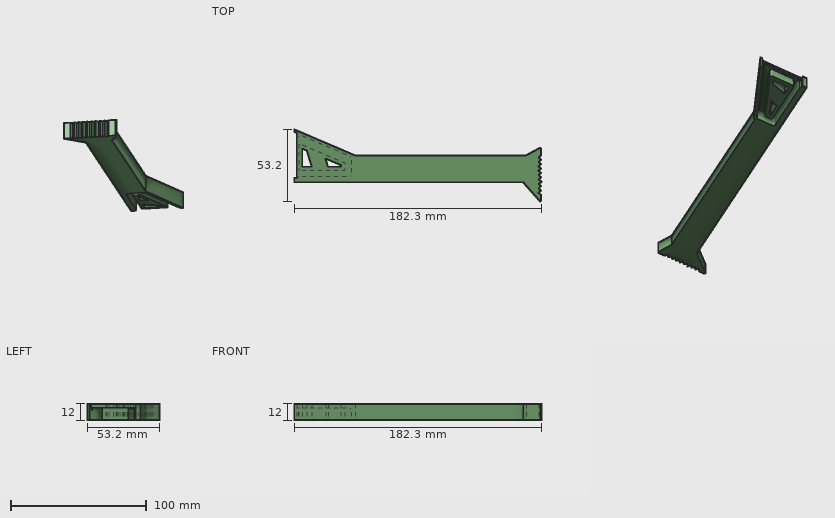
import cadquery as cq
import math

length = 182.3
thickness = 12.0
bar_bottom = 14.2
bar_top = 34.0

flare_end = 44.8
flare_top = 53.2
flare_slope = (bar_top - flare_top) / flare_end
slope_stretch = math.hypot(1, flare_slope)

mouth_depth = 1.8
lower_lip = 17.5
upper_lip = 51.5

head_upper_start = 170.6
head_lower_start = 168.5
head_top = 39.7
tip_bevel = 0.7
head_face = 181.8
tooth_count = 9
long_tooth = 2
tooth_depth = 1.8
teeth_bottom = 5.0
teeth_top = 34.0

roof = 3.0
pocket_height = thickness - roof
pocket_end = 42.0
pocket_bottom = 18.6
side_wall = 2.0
pocket_corner = 1.6
pocket_fillet = 2.0
inner_top = flare_top - side_wall * slope_stretch

window_left = 6.2
window_right = 34.5
window_bottom = 25.7
window_top = 38.8
block_wall = 2.7
block_corner = 1.1
web_left = 13.0
web_right = 25.0
web_slope = -3.2


def slope_y(x, height_at_zero):
    """Height at x of a line parallel to the flare slope."""
    return height_at_zero + flare_slope * x


def prism(points, height):
    return cq.Workplane("XY").polyline(points).close().extrude(height)


def triangle_points(left, right, bottom, height_at_zero):
    """Four-sided outline with its top parallel to the flare slope."""
    return [
        (left, bottom),
        (right, bottom),
        (right, slope_y(right, height_at_zero)),
        (left, slope_y(left, height_at_zero)),
    ]


def body():
    points = [
        (0, bar_bottom),
        (head_lower_start, bar_bottom),
        (head_face - tip_bevel, 0),
        (head_face, tip_bevel),
        (head_face, teeth_bottom),
    ]
    pitch = (teeth_top - teeth_bottom) / tooth_count
    for tooth in range(tooth_count):
        start = teeth_bottom + tooth * pitch
        points.append((head_face - tooth_depth, start + pitch / 2))
        tip = length if tooth == long_tooth else head_face
        points.append((tip, start + pitch))
    points += [
        (head_face, head_top - tip_bevel),
        (head_face - tip_bevel, head_top),
        (head_upper_start, bar_top),
        (flare_end, bar_top),
        (0, flare_top),
        (0, upper_lip),
        (mouth_depth, slope_y(mouth_depth, inner_top)),
        (mouth_depth, lower_lip),
        (0, lower_lip),
    ]
    return prism(points, thickness)


def pocket():
    outline = triangle_points(-2 * mouth_depth, pocket_end, pocket_bottom, inner_top)
    cavity = prism(outline, pocket_height)
    cavity = cavity.edges("|Z and >X").fillet(pocket_corner)
    cavity = cavity.faces(">Z").edges("not <X").fillet(pocket_fillet)
    lead_in = pocket_bottom - lower_lip
    throat = prism(
        [
            (mouth_depth, lower_lip),
            (mouth_depth + lead_in, pocket_bottom),
            (mouth_depth + lead_in, slope_y(mouth_depth + lead_in, inner_top)),
            (mouth_depth, slope_y(mouth_depth, inner_top)),
        ],
        pocket_height,
    )
    behind_lips = cq.Workplane("XY").box(length, length, thickness, centered=False)
    return cavity.intersect(behind_lips.translate((mouth_depth, 0, 0))).union(throat)


window_line = window_top - flare_slope * window_left


def block():
    block_line = window_line + block_wall * slope_stretch
    outline = triangle_points(
        window_left - block_wall, window_right + block_wall, window_bottom - block_wall, block_line
    )
    return prism(outline, thickness).edges("|Z").fillet(block_corner)


def windows():
    opening = prism(triangle_points(window_left, window_right, window_bottom, window_line), thickness)
    rise = window_top - window_bottom
    run = rise / web_slope
    web = prism(
        [
            (web_left, window_bottom),
            (web_right, window_bottom),
            (web_right + run, window_top),
            (web_left + run, window_top),
        ],
        thickness,
    )
    return opening.cut(web)


result = body().cut(pocket()).union(block()).cut(windows())